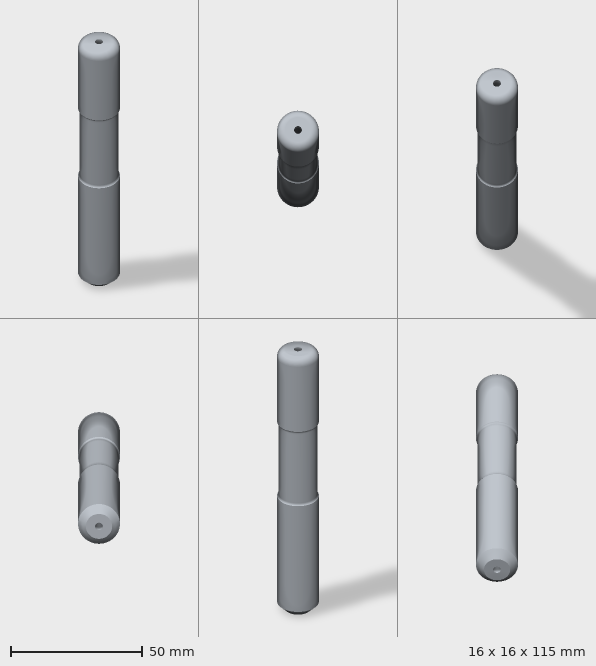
import cadquery as cq

length = 115.0
radius = 7.99
end_break = 3.0
bore_radius = 1.5

waist_radius = 7.5
waist_top = length - 32.0
waist_bottom = length - 65.0
cove_height = 1.0
cove_depth = radius - waist_radius
cove_radius = (cove_height**2 + cove_depth**2) / (2 * cove_depth)


def make_rod():
    """Bored rod with a rounded top, a chamfered bottom and a shallow waist."""
    profile = (
        cq.Workplane("XZ")
        .moveTo(bore_radius, 0)
        .lineTo(radius - end_break, 0)
        .lineTo(radius, end_break)
        .lineTo(radius, waist_bottom)
        .radiusArc((waist_radius, waist_bottom + cove_height), cove_radius)
        .lineTo(waist_radius, waist_top - cove_height)
        .radiusArc((radius, waist_top), cove_radius)
        .lineTo(radius, length - end_break)
        .radiusArc((radius - end_break, length), -end_break)
        .lineTo(bore_radius, length)
        .close()
    )
    return profile.revolve(360, (0, 0, 0), (0, 1, 0))


rod = make_rod()

result = cq.Compound.makeCompound([rod.val()])